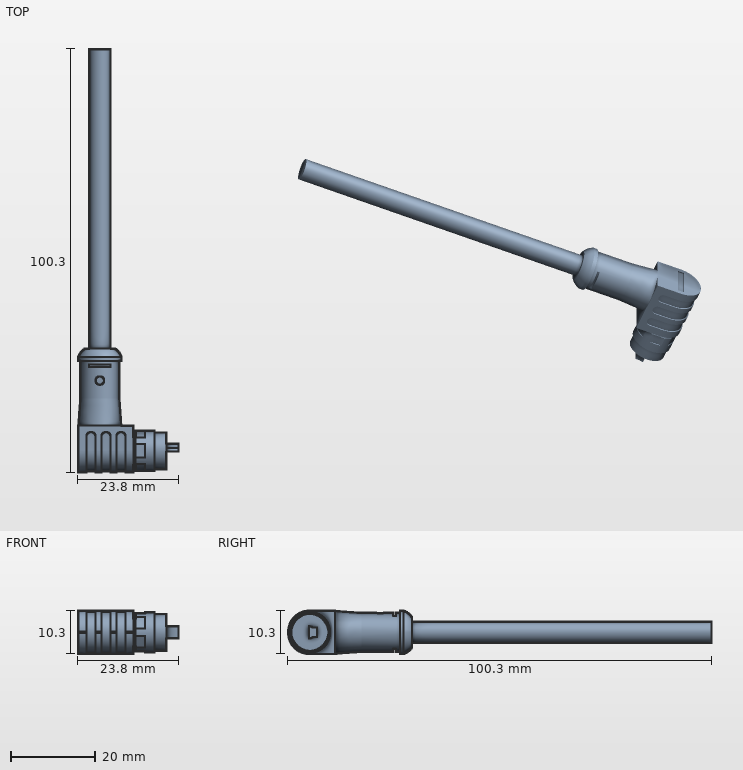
import cadquery as cq


housing_height = 10.3
housing_radius = housing_height / 2
housing_left = -housing_radius
housing_right = 7.95
housing_back = 6.0

seam_width = 0.3
seam_depth = 0.15

recess_count = 3
recess_pitch = 3.55
recess_width = 2.2
recess_depth = 0.3
recess_first_x = -2.1
recess_end_y = 4.45

window_width = 1.55
window_height = 8.2
window_depth = 0.3

grip_radius = 9.3 / 2
flare_radius = 5.1
flare_end_y = 12.3
flange_radius = 10.3 / 2
flange_front_y = 21.3
flange_back_y = 22.2
nose_radius = 7.2 / 2
nose_end_y = 24.2
nose_bulge = 0.15

cable_radius = 5.1 / 2
cable_end_y = 95.15

notch_chord = 5.1
notch_y = 20.1
notch_width = 0.6
dimple_radius = 2.0 / 2
dimple_y = 16.65
dimple_depth = 0.3

neck_radius = 6.5 / 2
ring_radius = 9.6 / 2
ring_start_x = 8.5
ring_end_x = 13.0
sleeve_radius = 8.8 / 2
sleeve_end_x = 15.75
flat_count = 6
flat_chord = 3.2
flat_length = 2.2
key_end_x = 18.65
key_radius = 1.45
key_base_y = -0.2
key_shoulder_y = 0.7
key_top_y = 1.7


def chord_offset(radius, chord):
    """Distance from a circle's centre to a chord of the given length."""
    return (radius**2 - (chord / 2) ** 2) ** 0.5


def rounded_slab(x_start, length, radius):
    """Slab with a half-round front, extruded along X."""
    return (
        cq.Workplane("YZ", origin=(x_start, 0, 0))
        .moveTo(housing_back, -radius)
        .lineTo(0, -radius)
        .threePointArc((-radius, 0), (0, radius))
        .lineTo(housing_back, radius)
        .close()
        .extrude(length)
    )


def x_cylinder(x_start, x_end, radius):
    """Cylinder along the plug axis."""
    return cq.Workplane("YZ", origin=(x_start, 0, 0)).circle(radius).extrude(x_end - x_start)


def make_recess(x_center):
    """U-shaped skin that lowers the top, front and bottom of the housing."""
    x_start = x_center - recess_width / 2
    skin = rounded_slab(x_start, recess_width, housing_radius + recess_depth).cut(
        rounded_slab(x_start, recess_width, housing_radius - recess_depth)
    )
    end_radius = recess_width / 2
    straight_end_y = recess_end_y - end_radius
    front_y = -housing_radius - recess_depth
    envelope = (
        cq.Workplane("XY", origin=(x_center, 0, -housing_height))
        .moveTo(-end_radius, front_y)
        .lineTo(-end_radius, straight_end_y)
        .threePointArc((0, recess_end_y), (end_radius, straight_end_y))
        .lineTo(end_radius, front_y)
        .close()
        .extrude(2 * housing_height)
    )
    return skin.intersect(envelope)


def make_housing():
    housing = rounded_slab(housing_left, housing_right - housing_left, housing_radius)
    for i in range(recess_count):
        housing = housing.cut(make_recess(recess_first_x + i * recess_pitch))
    seam = cq.Workplane("XY").box(
        housing_right - housing_left, 2 * seam_depth, seam_width, centered=(False, True, True)
    )
    housing = housing.cut(seam.translate((housing_left, -housing_radius, 0)))
    window = cq.Workplane("XY").box(2 * window_depth, window_width, window_height)
    return housing.cut(window.translate((housing_left, 0, 0)))


def make_grip_and_cable():
    nose_mid = (
        (flange_radius + nose_radius) / 2 + nose_bulge,
        (flange_back_y + nose_end_y) / 2 + nose_bulge,
    )
    body = (
        cq.Workplane("XY")
        .moveTo(0, housing_back)
        .lineTo(flare_radius, housing_back)
        .lineTo(grip_radius, flare_end_y)
        .lineTo(grip_radius, flange_front_y)
        .lineTo(flange_radius, flange_front_y)
        .lineTo(flange_radius, flange_back_y)
        .threePointArc(nose_mid, (nose_radius, nose_end_y))
        .lineTo(cable_radius, nose_end_y)
        .lineTo(cable_radius, cable_end_y)
        .lineTo(0, cable_end_y)
        .close()
        .revolve(360, (0, 0, 0), (0, 1, 0))
    )
    notch_floor = chord_offset(grip_radius, notch_chord)
    notch = cq.Workplane("XY").box(2 * grip_radius, notch_width, grip_radius)
    for side in (1, -1):
        body = body.cut(notch.translate((0, notch_y, side * (notch_floor + grip_radius / 2))))
    dimple = (
        cq.Workplane("XY", origin=(0, dimple_y, grip_radius - dimple_depth))
        .circle(dimple_radius)
        .extrude(grip_radius)
    )
    return body.cut(dimple)


def make_ring():
    """Ring with flats milled into its rear end, one of them facing +Z."""
    ring = x_cylinder(ring_start_x, ring_end_x, ring_radius)
    flat_height = chord_offset(ring_radius, flat_chord)
    cutter = cq.Workplane("XY").box(
        flat_length, 2 * ring_radius, ring_radius, centered=(False, True, False)
    )
    cutter = cutter.translate((ring_start_x, 0, flat_height))
    for i in range(flat_count):
        ring = ring.cut(cutter.rotate((0, 0, 0), (1, 0, 0), i * 360 / flat_count))
    return ring


def make_key():
    """Coding key: half-round base with a flat-sided rib above it."""
    base_height = key_shoulder_y - key_base_y
    rib_half_width = chord_offset(key_radius, 2 * base_height)
    return (
        cq.Workplane("YZ", origin=(sleeve_end_x, 0, 0))
        .moveTo(key_base_y, -key_radius)
        .radiusArc((key_shoulder_y, -rib_half_width), -key_radius)
        .lineTo(key_top_y, -rib_half_width)
        .lineTo(key_top_y, rib_half_width)
        .lineTo(key_shoulder_y, rib_half_width)
        .radiusArc((key_base_y, key_radius), -key_radius)
        .close()
        .extrude(key_end_x - sleeve_end_x)
    )


def make_plug():
    neck = x_cylinder(housing_right, ring_start_x, neck_radius)
    sleeve = x_cylinder(ring_end_x, sleeve_end_x, sleeve_radius)
    return neck.union(make_ring()).union(sleeve).union(make_key())


result = make_housing().union(make_grip_and_cable()).union(make_plug())